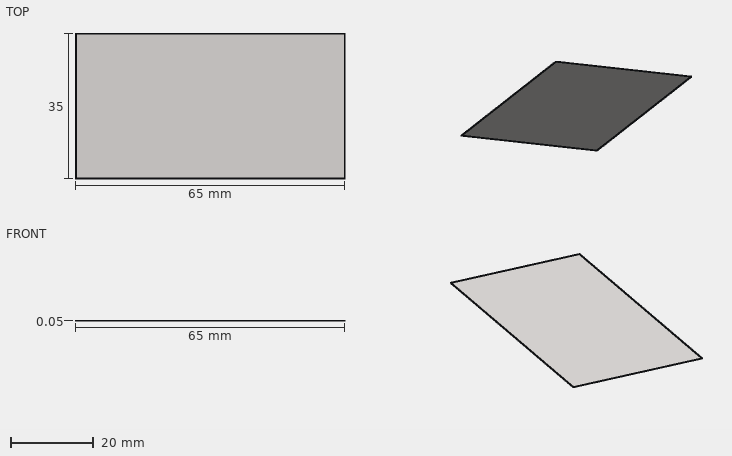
import cadquery as cq

length = 65.0
width = 35.0
thickness = 0.05

result = cq.Workplane("XY").box(length, width, thickness, centered=(True, True, False))